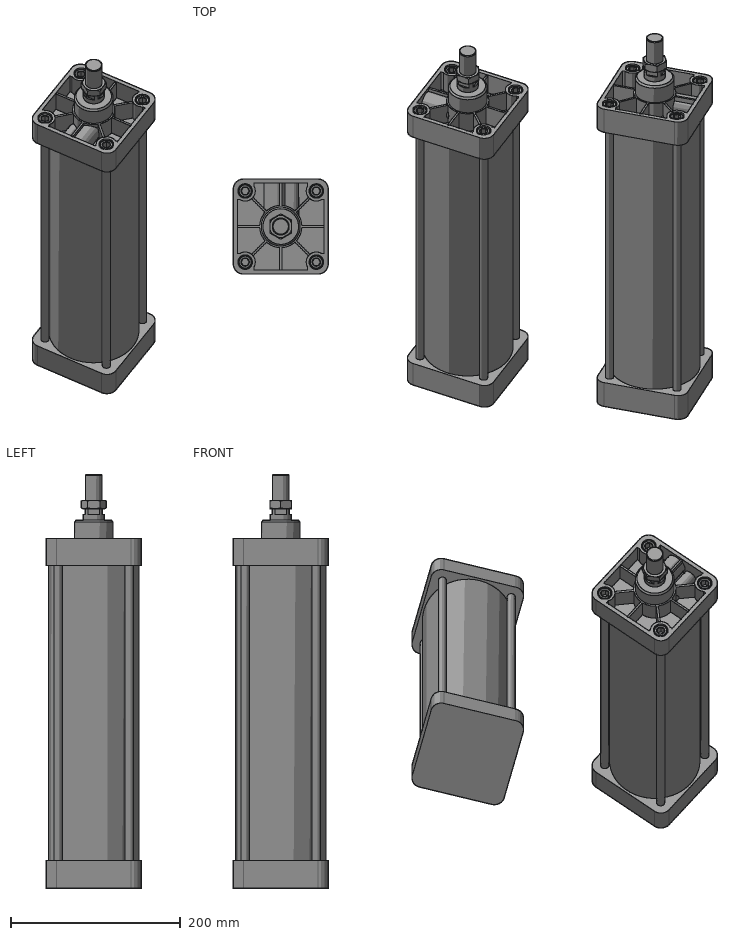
import cadquery as cq
import math

total_height = 488.0
cap_width = 112.0
cap_corner_radius = 12.0
head_top = 413.0
head_height = 32.0
head_bottom = head_top - head_height
end_cap_height = 33.0

barrel_diameter = 107.0
tie_rod_diameter = 10.0
tie_rod_offset = 42.0

wall_thickness = 5.0
floor_thickness = 5.0
pocket_floor = head_bottom + floor_thickness
pocket_half_width = cap_width / 2 - wall_thickness
pad_reach = 10.2
pad_diameter = 24.0
rib_thickness = 2.5
rib_drop = 1.0
rib_top = head_top - rib_drop

gland_base_diameter = 50.0
gland_diameter = 46.0
gland_top = 434.5
gland_chamfer_height = 2.5
gland_chamfer_width = 2.0

large_port_diameter = 25.0
large_port_offset = -7.5
large_port_height = (head_top + head_bottom) / 2
small_port_diameter = 16.0
small_port_offset = large_port_offset + (large_port_diameter + small_port_diameter) / 2
small_port_height = 388.0

nut_recess_diameter = 17.0
nut_recess_depth = 14.5
nut_diameter = 16.0
nut_drop = 1.0
recess_floor = head_top - nut_recess_depth
nut_top = head_top - nut_drop
nut_chamfer = 1.0
socket_across_flats = 8.5
socket_depth = 10.0
countersink_diameter = 10.0
countersink_depth = 0.5

rod_diameter = 25.0
thread_diameter = 20.0
thread_chamfer = 1.0
hex_top = 457.5
hex_bottom = 447.5
hex_across_flats = 26.0
hex_top_diameter = 26.5
hex_bottom_diameter = rod_diameter
hex_chamfer_angle = 30.0
flats_bottom = 441.0
flats_width = 20.5


def cylinder(diameter, bottom, top, x=0.0, y=0.0):
    """Upright cylinder between two heights."""
    return (
        cq.Workplane("XY", origin=(x, y, bottom))
        .circle(diameter / 2)
        .extrude(top - bottom)
    )


def square_block(width, bottom, top):
    """Square block centred on the cylinder axis."""
    return (
        cq.Workplane("XY", origin=(0, 0, bottom))
        .rect(width, width)
        .extrude(top - bottom)
    )


def hexagon(across_flats, bottom, top):
    """Upright hexagonal prism with corners on +X and -X."""
    return (
        cq.Workplane("XY", origin=(0, 0, bottom))
        .polygon(6, 2 * across_flats / math.sqrt(3))
        .extrude(top - bottom)
    )


def corner_points():
    """Centres of the four tie rods."""
    return [(x * tie_rod_offset, y * tie_rod_offset) for x in (-1, 1) for y in (-1, 1)]


def cap(bottom, top):
    """Square cap with rounded vertical corners."""
    return square_block(cap_width, bottom, top).edges("|Z").fillet(cap_corner_radius)


def corner_pads():
    """Round pads at the tie rods, each joined to both walls by straight webs."""
    web_inside = tie_rod_offset - pad_reach
    wall = pocket_half_width
    pad_height = head_top - pocket_floor
    web_outline = [
        (wall, web_inside),
        (tie_rod_offset, web_inside),
        (tie_rod_offset, tie_rod_offset),
        (web_inside, tie_rod_offset),
        (web_inside, wall),
        (wall, wall),
    ]
    web = cq.Workplane("XY", origin=(0, 0, pocket_floor)).polyline(web_outline).close().extrude(pad_height)
    pad = web.union(cylinder(pad_diameter, pocket_floor, head_top, tie_rod_offset, tie_rod_offset))
    pads = cq.Workplane("XY")
    for angle in (0, 90, 180, 270):
        pads = pads.add(pad.rotate((0, 0, 0), (0, 0, 1), angle))
    return pads.combine()


def ribs():
    """Eight ribs that radiate from the gland to the walls and pads."""
    spokes = cq.Workplane("XY")
    height = rib_top - pocket_floor
    straight_length = 2 * pocket_half_width
    diagonal_length = 2 * tie_rod_offset * math.sqrt(2)
    for angle in (0, 45, 90, 135):
        length = diagonal_length if angle % 90 else straight_length
        spoke = (
            cq.Workplane("XY", origin=(0, 0, pocket_floor))
            .rect(length, rib_thickness)
            .extrude(height)
            .rotate((0, 0, 0), (0, 0, 1), angle)
        )
        spokes = spokes.add(spoke)
    return spokes.combine()


def port_boss(diameter, x, z):
    """Partly buried round boss from the gland to the +Y wall."""
    return (
        cq.Workplane("XZ", origin=(x, 0, z))
        .circle(diameter / 2)
        .extrude(-pocket_half_width)
    )


def head():
    """Front cap with ribbed pocket, gland and port bosses."""
    pocket = (
        square_block(2 * pocket_half_width, pocket_floor, head_top)
        .cut(corner_pads())
        .cut(ribs())
        .cut(cylinder(gland_base_diameter, pocket_floor, rib_top))
        .cut(port_boss(large_port_diameter, large_port_offset, large_port_height))
        .cut(port_boss(small_port_diameter, small_port_offset, small_port_height))
    )
    gland = cylinder(gland_diameter, pocket_floor, gland_top).faces(">Z").chamfer(
        gland_chamfer_height, gland_chamfer_width
    )
    return cap(head_bottom, head_top).cut(pocket).union(gland)


def tie_rod_nut(x, y):
    """Round nut with a countersunk hexagonal socket."""
    socket_floor = nut_top - socket_depth
    socket = hexagon(socket_across_flats, socket_floor, nut_top).translate((x, y, 0))
    countersink = cq.Solid.makeCone(
        countersink_diameter / 2 - countersink_depth,
        countersink_diameter / 2,
        countersink_depth,
        cq.Vector(x, y, nut_top - countersink_depth),
    )
    body = cylinder(nut_diameter, recess_floor, nut_top, x, y).faces(">Z").chamfer(nut_chamfer)
    return body.cut(socket).cut(countersink)


def nut_recess(x, y):
    """Space around a nut in its round recess."""
    return cylinder(nut_recess_diameter, recess_floor, head_top, x, y).cut(tie_rod_nut(x, y))


def make_housing():
    """Caps, barrel and tie rods, with the bore for the piston rod."""
    housing = (
        cap(0, end_cap_height)
        .union(cylinder(barrel_diameter, end_cap_height, head_bottom))
        .union(head())
    )
    for x, y in corner_points():
        housing = housing.union(cylinder(tie_rod_diameter, end_cap_height, head_bottom, x, y))
        housing = housing.cut(nut_recess(x, y))
    return housing.cut(cylinder(rod_diameter, head_bottom, gland_top))


def chamfer_hex_end(prism, end, end_diameter):
    """Trim one end of the hexagon with a cone that leaves a circle of the given diameter."""
    corner_radius = hex_across_flats / math.sqrt(3)
    width = corner_radius - end_diameter / 2
    height = width * math.tan(math.radians(hex_chamfer_angle))
    envelope = cylinder(2 * corner_radius, hex_bottom, hex_top).faces(end).chamfer(height, width)
    return prism.intersect(envelope)


def rod_hex():
    """Hexagon with corners on +Y and -Y, chamfered at both ends."""
    prism = hexagon(hex_across_flats, hex_bottom, hex_top).rotate((0, 0, 0), (0, 0, 1), 90)
    prism = chamfer_hex_end(prism, ">Z", hex_top_diameter)
    return chamfer_hex_end(prism, "<Z", hex_bottom_diameter)


def make_piston_rod():
    """Rod with four wrench flats, a hexagon and a thinner threaded end."""
    flats = cylinder(rod_diameter, flats_bottom, hex_bottom).intersect(
        square_block(flats_width, flats_bottom, hex_bottom)
    )
    thread = cylinder(thread_diameter, hex_top, total_height).faces(">Z").chamfer(thread_chamfer)
    return (
        cylinder(rod_diameter, head_bottom, flats_bottom)
        .union(flats)
        .union(rod_hex())
        .union(thread)
    )


housing = make_housing()
piston_rod = make_piston_rod()
result = cq.Compound.makeCompound([housing.val(), piston_rod.val()])